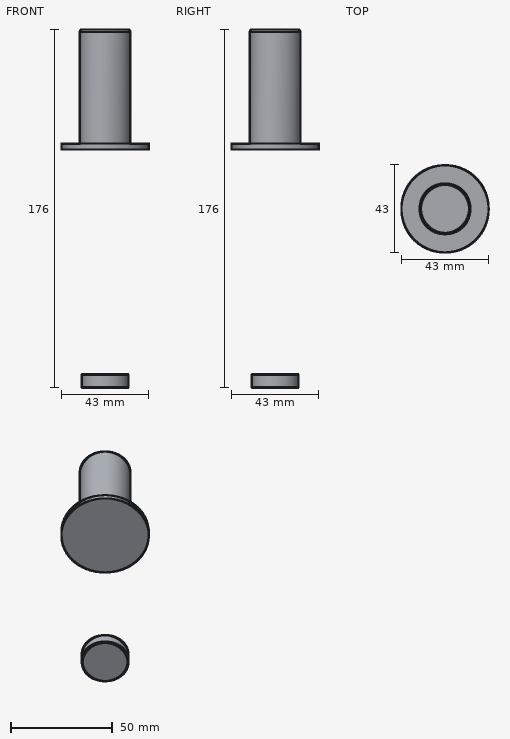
import cadquery as cq

total_height = 176.0

flange_diameter = 43.0
flange_thickness = 3.0
pin_diameter = 25.0
pin_height = 59.0
pin_chamfer_height = 1.2
pin_chamfer_width = 0.7

disc_diameter = 23.0
disc_thickness = 7.0
disc_chamfer = 0.5


def make_flanged_pin():
    """Round pin with a thin flange at its foot and a chamfered top edge."""
    flange = cq.Workplane("XY").circle(flange_diameter / 2).extrude(flange_thickness)
    shank = cq.Workplane("XY").circle(pin_diameter / 2).extrude(pin_height)
    shank = shank.faces(">Z").edges().chamfer(pin_chamfer_height, pin_chamfer_width)
    return flange.union(shank).translate((0, 0, total_height - pin_height))


def make_disc():
    """Flat disc with both rims chamfered."""
    disc = cq.Workplane("XY").circle(disc_diameter / 2).extrude(disc_thickness)
    return disc.faces("<Z or >Z").edges().chamfer(disc_chamfer)


flanged_pin = make_flanged_pin()
disc = make_disc()

result = cq.Compound.makeCompound([flanged_pin.val(), disc.val()])